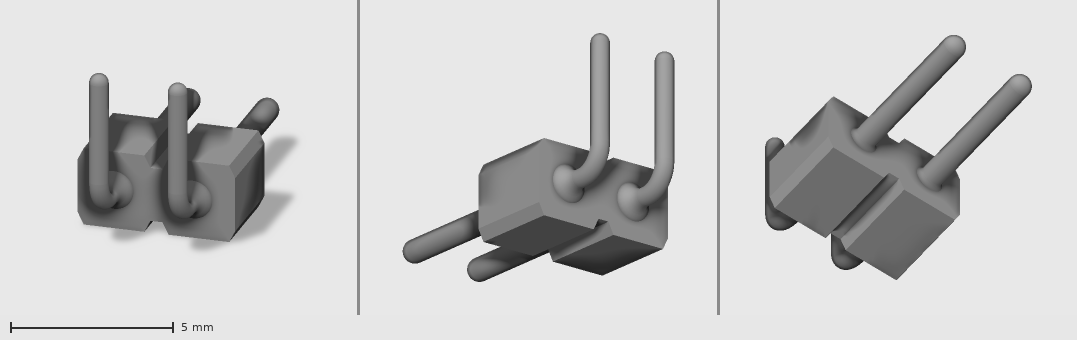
import cadquery as cq
import math

body_width = 5.08
body_height = 2.54
body_length = 2.98
bevel_run = 0.2
bevel_drop = 0.39
notch_floor_width = 0.39

pin_count = 2
pitch = body_width / pin_count
pin_shift = -0.1

leg_radius = 0.3
leg_reach = 1.83
leg_top = 4.47
bend_radius = 0.89
collar_radius = 0.62
collar_cone_length = 0.18
collar_angle = math.radians(45)

post_radius = 0.38
post_length = 4.95
post_collar_radius = 0.49
post_collar_length = 0.18

leg_axis_y = leg_radius - leg_reach
bend_start_y = leg_axis_y + bend_radius
post_tip_y = body_length + post_length


def make_body():
    half_width = body_width / 2
    half_height = body_height / 2
    shoulder = half_height - bevel_drop
    floor = notch_floor_width / 2
    mouth = floor + bevel_run
    right_half = [
        (floor, shoulder),
        (mouth, half_height),
        (half_width - bevel_run, half_height),
        (half_width, shoulder),
        (half_width, -shoulder),
        (half_width - bevel_run, -half_height),
        (mouth, -half_height),
        (floor, -shoulder),
    ]
    left_half = [(-x, z) for x, z in reversed(right_half)]
    return cq.Workplane("XZ").polyline(right_half + left_half).close().extrude(-body_length)


def revolve_about_y(profile):
    return profile.close().revolve(360, (0, 0, 0), (0, 1, 0))


def make_front_collar():
    """45 degree cone that blends into the leg through a tangent concave arc."""
    cone_end_radius = collar_radius - collar_cone_length * math.tan(collar_angle)
    blend_radius = (cone_end_radius - leg_radius) / (1 - math.cos(collar_angle))
    blend_end_y = -collar_cone_length - blend_radius * math.sin(collar_angle)
    blend_mid = (
        leg_radius + blend_radius * (1 - math.cos(collar_angle / 2)),
        blend_end_y + blend_radius * math.sin(collar_angle / 2),
    )
    profile = (
        cq.Workplane("XY")
        .lineTo(collar_radius, 0)
        .lineTo(cone_end_radius, -collar_cone_length)
        .threePointArc(blend_mid, (leg_radius, blend_end_y))
        .lineTo(leg_radius, bend_start_y)
        .lineTo(0, bend_start_y)
    )
    return revolve_about_y(profile)


def make_leg():
    """Quarter bend and upright with a hemispherical tip."""
    bend = (
        cq.Workplane("XZ", origin=(0, bend_start_y, 0))
        .circle(leg_radius)
        .revolve(90, (0.1, bend_radius, 0), (-0.1, bend_radius, 0))
    )
    upright_length = leg_top - leg_radius - bend_radius
    upright = (
        cq.Workplane("XY", origin=(0, leg_axis_y, bend_radius))
        .circle(leg_radius)
        .extrude(upright_length)
    )
    tip = cq.Workplane("XY", origin=(0, leg_axis_y, leg_top - leg_radius)).sphere(leg_radius)
    return bend.union(upright).union(tip)


def make_post():
    """Straight post with a hemispherical end and a concave fillet at the body."""
    flare = post_collar_radius - post_radius
    fillet_radius = (flare**2 + post_collar_length**2) / (2 * flare)
    profile = (
        cq.Workplane("XY")
        .moveTo(0, body_length)
        .lineTo(post_collar_radius, body_length)
        .radiusArc((post_radius, body_length + post_collar_length), fillet_radius)
        .lineTo(post_radius, post_tip_y - post_radius)
        .radiusArc((0, post_tip_y), -post_radius)
    )
    return revolve_about_y(profile)


front_pin = make_front_collar().union(make_leg())
post = make_post()

result = make_body()
for index in range(pin_count):
    pin_x = (index - (pin_count - 1) / 2) * pitch + pin_shift
    result = result.union(front_pin.translate((pin_x, 0, 0)))
    result = result.union(post.translate((pin_x, 0, 0)))